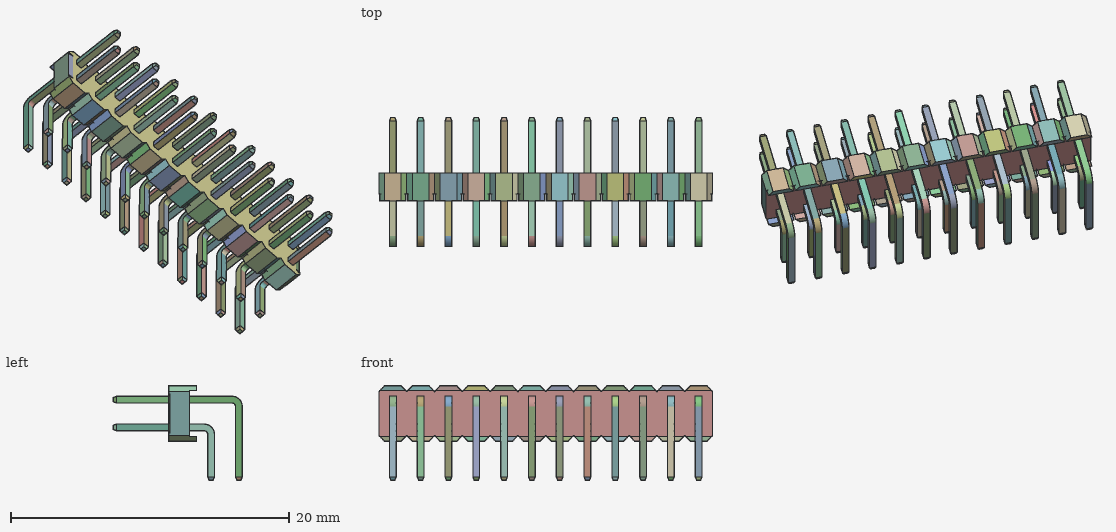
import cadquery as cq

positions = 12
pitch = 2.0
row_spacing = 2.0

housing_length = positions * pitch
housing_depth = 2.0
housing_height = 4.0
core_depth = 1.5
flange_thickness = 0.36
notch_depth = 0.42
notch_half_width = 0.4
bevel_depth = 0.08
bevel_width = 0.4
bevel_margin = 0.6

pin_size = 0.5
pin_lead = 4.0
tip_length = 0.25
tip_size = 0.3
bend_inner_radius = 0.25
bend_outer_radius = bend_inner_radius + pin_size

overall_height = 6.8
lower_row_reach = 1.3
upper_row_reach = lower_row_reach + row_spacing
upper_row_z = -(housing_height - row_spacing) / 2
lower_row_z = upper_row_z - row_spacing


def position_x(index):
    """X of the centre of a pin position."""
    return (index - (positions - 1) / 2) * pitch


def notch(x, z, inward):
    """V groove across the housing, opening at height z and pointing inward (+1 up, -1 down)."""
    return (
        cq.Workplane("XZ")
        .polyline([
            (x - notch_half_width, z),
            (x, z + inward * notch_depth),
            (x + notch_half_width, z),
        ])
        .close()
        .extrude(housing_depth)
    )


def end_bevel(side):
    """Shallow wedge along the rear upright edge of one end (side is -1 or +1 along X)."""
    end_x = side * housing_length / 2
    return (
        cq.Workplane("XY", origin=(0, 0, bevel_margin - housing_height))
        .polyline([
            (end_x, 0),
            (end_x, -bevel_depth),
            (end_x - side * bevel_width, 0),
        ])
        .close()
        .extrude(housing_height - 2 * bevel_margin)
    )


def make_housing():
    """Bar with its front face recessed between two flanges, V grooves and bevelled rear ends."""
    body = cq.Workplane("XY").box(
        housing_length, housing_depth, housing_height, centered=(True, False, False)
    ).translate((0, -housing_depth, -housing_height))
    recess = cq.Workplane("XY").box(
        housing_length,
        housing_depth - core_depth,
        housing_height - 2 * flange_thickness,
        centered=(True, False, False),
    ).translate((0, -housing_depth, flange_thickness - housing_height))
    body = body.cut(recess)
    for boundary in range(positions + 1):
        boundary_x = position_x(boundary) - pitch / 2
        body = body.cut(notch(boundary_x, 0, -1))
        body = body.cut(notch(boundary_x, -housing_height, 1))
    for side in (-1, 1):
        body = body.cut(end_bevel(side))
    return body


def tapered_tip(plane):
    """Four-sided taper from the full pin section down to the tip."""
    return (
        cq.Workplane(plane)
        .rect(pin_size, pin_size)
        .workplane(offset=tip_length)
        .rect(tip_size, tip_size)
        .loft()
    )


def make_pin(x, z, reach):
    """Square pin centred at height z, bent down; its leg's front face is at reach before the housing."""
    half = pin_size / 2
    leg_y = -housing_depth - reach + half
    rear_y = pin_lead - tip_length
    foot_z = tip_length - overall_height
    bend_y = leg_y - half + bend_outer_radius
    bend_z = z + half - bend_outer_radius
    shank = (
        cq.Workplane("YZ", origin=(x - half, 0, 0))
        .moveTo(rear_y, z + half)
        .lineTo(bend_y, z + half)
        .radiusArc((leg_y - half, bend_z), -bend_outer_radius)
        .lineTo(leg_y - half, foot_z)
        .lineTo(leg_y + half, foot_z)
        .lineTo(leg_y + half, bend_z)
        .radiusArc((bend_y, z - half), bend_inner_radius)
        .lineTo(rear_y, z - half)
        .close()
        .extrude(pin_size)
    )
    rear_tip = tapered_tip(cq.Plane(origin=(x, rear_y, z), xDir=(1, 0, 0), normal=(0, 1, 0)))
    foot_tip = tapered_tip(cq.Plane(origin=(x, leg_y, foot_z), xDir=(1, 0, 0), normal=(0, 0, -1)))
    return shank.union(rear_tip).union(foot_tip)


result = make_housing()
for position in range(positions):
    pin_x = position_x(position)
    result = result.union(make_pin(pin_x, lower_row_z, lower_row_reach))
    result = result.union(make_pin(pin_x, upper_row_z, upper_row_reach))